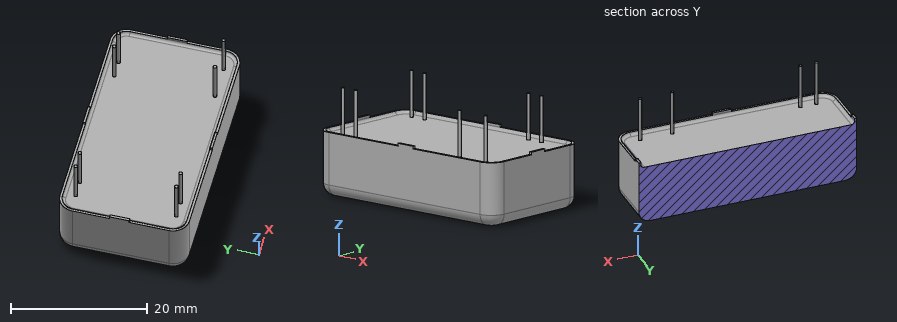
import cadquery as cq


case_length = 34.6
case_width = 19.61
rim_height = 9.81
corner_radius = 2.5
bottom_radius = 1.92

wall = 0.4
recess_depth = 0.5
recess_fillet = recess_depth

tab_length = 3.0
tab_height = 0.39
tab_offset = 0.2

pin_pitch = 2.54
pin_diameter = 0.53
pin_tip_height = 16.31
pin_embed = 1.0
grid_shift_x = -0.03
grid_shift_y = 0.015
row_distance = 3 * pin_pitch
back_row_columns = (-5.5, -4.5, 3.5, 4.5)
front_row_columns = (-5.5, -4.5, 3.5, 5.5)

floor_height = rim_height - recess_depth


def make_case():
    """Solid block with rounded corners and a rounded bottom edge."""
    block = cq.Workplane("XY").box(case_length, case_width, rim_height, centered=(True, True, False))
    return block.edges("|Z").fillet(corner_radius).faces("<Z").edges().fillet(bottom_radius)


def make_recess():
    """Cutter for the shallow recess, rounded along its bottom edge and rising past the rim."""
    cavity = (
        cq.Workplane("XY", origin=(0, 0, floor_height))
        .rect(case_length - 2 * wall, case_width - 2 * wall)
        .extrude(2 * recess_depth)
    )
    cavity = cavity.edges("|Z").fillet(corner_radius - wall)
    return cavity.faces("<Z").edges().fillet(recess_fillet)


def make_tabs():
    """Four wall-thick tabs, one in each side of the rim."""
    tabs = cq.Workplane("XY")
    for side in (-1, 1):
        along_x = (tab_offset, side * (case_width - wall) / 2, tab_length, wall)
        along_y = (side * (case_length - wall) / 2, tab_offset, wall, tab_length)
        for x, y, size_x, size_y in (along_x, along_y):
            tab = cq.Workplane("XY", origin=(x, y, rim_height)).rect(size_x, size_y).extrude(tab_height)
            tabs = tabs.add(tab)
    return tabs


def make_pin(x, y):
    """Round pin rooted in the filling and ending at the tip height."""
    root_height = floor_height - pin_embed
    pin = cq.Workplane("XY", origin=(x, y, root_height))
    return pin.circle(pin_diameter / 2).extrude(pin_tip_height - root_height)


result = make_case().cut(make_recess())
for tab in make_tabs().vals():
    result = result.union(cq.Workplane(tab))
for row_y, columns in ((row_distance, back_row_columns), (-row_distance, front_row_columns)):
    for column in columns:
        result = result.union(make_pin(column * pin_pitch + grid_shift_x, row_y + grid_shift_y))